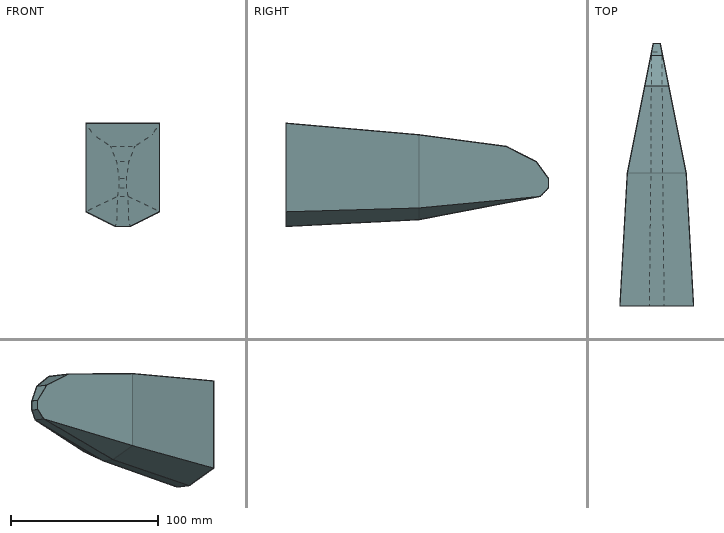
import cadquery as cq

total_length = 177.71
shank_length = 90.0

butt_width = 50.0
butt_flat_width = 10.0
butt_side_depth = 60.0
butt_bottom_depth = 70.0

neck_width = 40.0
neck_flat_width = 8.0
neck_top_depth = 7.83
neck_side_depth = 57.4
neck_bottom_depth = 65.4

nose_taper = 0.4

brow_rear = (149.0, 15.7)
brow_front = (169.4, 26.0)
tip_top = (total_length, 37.5)
tip_bottom = (total_length, 43.8)
chin = (172.1, 49.6)


def section(y, width, flat_width, top_depth, side_depth, bottom_depth):
    """Closed wire at Y = y: square upper corners, sloped lower corners and a narrow flat bottom."""
    half_width = width / 2
    half_flat = flat_width / 2
    corners = [
        (-half_width, -top_depth),
        (half_width, -top_depth),
        (half_width, -side_depth),
        (half_flat, -bottom_depth),
        (-half_flat, -bottom_depth),
        (-half_width, -side_depth),
    ]
    points = [cq.Vector(x, y, z) for x, z in corners]
    return cq.Wire.makePolygon(points, close=True)


def nose_width(y):
    """Width of the nose at position y."""
    return neck_width - nose_taper * (y - shank_length)


def make_shank():
    """Straight-sided taper from the butt end to the neck."""
    butt = section(0, butt_width, butt_flat_width, 0, butt_side_depth, butt_bottom_depth)
    neck = section(
        shank_length, neck_width, neck_flat_width, neck_top_depth, neck_side_depth, neck_bottom_depth
    )
    return cq.Workplane(cq.Solid.makeLoft([butt, neck], True))


def make_nose_blank():
    """Wedge narrowing from the neck to the tip, trimmed to the faceted side outline."""
    tip_width = nose_width(total_length)
    wedge = (
        cq.Workplane("XY")
        .workplane(offset=-butt_bottom_depth)
        .polyline([
            (-neck_width / 2, shank_length),
            (neck_width / 2, shank_length),
            (tip_width / 2, total_length),
            (-tip_width / 2, total_length),
        ])
        .close()
        .extrude(butt_bottom_depth)
    )
    neck_top = (shank_length, neck_top_depth)
    neck_bottom = (shank_length, neck_bottom_depth)
    outline = [neck_top, brow_rear, brow_front, tip_top, tip_bottom, chin, neck_bottom]
    profile = (
        cq.Workplane("YZ")
        .polyline([(y, -depth) for y, depth in outline])
        .close()
        .extrude(neck_width / 2, both=True)
    )
    return wedge.intersect(profile)


def make_corner_cut():
    """Tetrahedron under the +X lower corner of the nose, fading to a point at the chin."""
    chin_y, chin_depth = chin
    side = cq.Vector(neck_width / 2, shank_length, -neck_side_depth)
    flat = cq.Vector(neck_flat_width / 2, shank_length, -neck_bottom_depth)
    corner = cq.Vector(neck_width / 2, shank_length, -neck_bottom_depth)
    apex = cq.Vector(nose_width(chin_y) / 2, chin_y, -chin_depth)

    triangles = [(side, flat, corner), (side, flat, apex), (flat, corner, apex), (corner, side, apex)]
    outlines = [cq.Wire.makePolygon(triangle, close=True) for triangle in triangles]
    faces = [cq.Face.makeFromWires(outline) for outline in outlines]
    return cq.Workplane(cq.Solid.makeSolid(cq.Shell.makeShell(faces)))


corner_cut = make_corner_cut()
nose = make_nose_blank().cut(corner_cut).cut(corner_cut.mirror("YZ"))
result = make_shank().union(nose).solids()